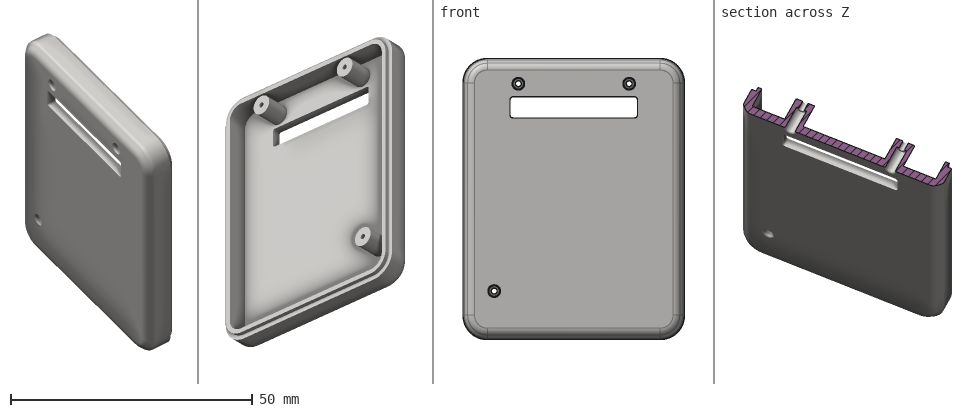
import cadquery as cq

WIDTH = 45.9
HEIGHT = 58.25
DEPTH = 7.6
CORNER_RADIUS = 5.05

LIP_STEP = 1.0
LIP_HEIGHT = 1.0
WALL = 2 * LIP_STEP
FLOOR = 2.0

RIM_CHAMFER = 1.6
RIM_SIDE_FILLET = 1.0
RIM_FACE_FILLET = 2.0
EDGE_MARGIN = 0.05

POST_DIAMETER = 4.3
POST_RISE = 0.9
POST_CENTERS = [(-11.5, 23.9), (11.5, 23.9), (-16.5, -19.05)]
SCREW_HOLE_DIAMETER = 1.15
HEAD_HOLE_DIAMETER = 2.2
HEAD_HOLE_DEPTH = 5.6
HEAD_HOLE_CHAMFER = 0.205

WINDOW_WIDTH = 26.3
WINDOW_HEIGHT = 4.3
WINDOW_CENTER_Z = 19.0
WINDOW_CORNER_RADIUS = 0.5

FRONT_Y = -DEPTH / 2
FLOOR_Y = FRONT_Y + FLOOR
BACK_Y = DEPTH / 2
LIP_TOP_Y = BACK_Y - POST_RISE
STEP_Y = LIP_TOP_Y - LIP_HEIGHT


def plane_at(y):
    """XZ work plane at the given Y whose extrusions grow toward +Y (local y is -Z)."""
    return cq.Workplane(cq.Plane(origin=(0, y, 0), xDir=(1, 0, 0), normal=(0, 1, 0)))


def rounded_block(inset, y_start, y_end):
    """Block following the plate outline, shrunk by inset on every side."""
    return (
        plane_at(y_start)
        .rect(WIDTH - 2 * inset, HEIGHT - 2 * inset)
        .extrude(y_end - y_start)
        .edges("|Y")
        .fillet(CORNER_RADIUS - inset)
    )


def cylinders(diameter, y_start, y_end):
    """One cylinder along Y at every post center."""
    centers = [(x, -z) for x, z in POST_CENTERS]
    return plane_at(y_start).pushPoints(centers).circle(diameter / 2).extrude(y_end - y_start)


def outer_body():
    """Outer body with the softened front rim."""
    body = rounded_block(0, FRONT_Y, STEP_Y)
    body = body.faces("<Y").chamfer(RIM_CHAMFER)
    body = body.faces("<Y").edges().fillet(RIM_FACE_FILLET)
    side_edge_y = FRONT_Y + RIM_CHAMFER
    selector = cq.selectors.BoxSelector(
        (-WIDTH, side_edge_y - EDGE_MARGIN, -HEIGHT), (WIDTH, side_edge_y + EDGE_MARGIN, HEIGHT)
    )
    return body.edges(selector).fillet(RIM_SIDE_FILLET)


def head_holes():
    """Screw head recesses, flared where they meet the front face."""
    holes = cylinders(HEAD_HOLE_DIAMETER, FRONT_Y, FRONT_Y + HEAD_HOLE_DEPTH)
    for x, z in POST_CENTERS:
        flare = cq.Solid.makeCone(
            HEAD_HOLE_DIAMETER / 2 + HEAD_HOLE_CHAMFER,
            HEAD_HOLE_DIAMETER / 2,
            HEAD_HOLE_CHAMFER,
            pnt=cq.Vector(x, FRONT_Y, z),
            dir=cq.Vector(0, 1, 0),
        )
        holes = holes.union(cq.Workplane(flare))
    return holes


def window():
    """Rounded rectangular opening through the floor."""
    return (
        plane_at(FRONT_Y)
        .center(0, -WINDOW_CENTER_Z)
        .rect(WINDOW_WIDTH, WINDOW_HEIGHT)
        .extrude(FLOOR)
        .edges("|Y")
        .fillet(WINDOW_CORNER_RADIUS)
    )


shell = outer_body().union(rounded_block(LIP_STEP, FLOOR_Y, LIP_TOP_Y))
shell = shell.cut(rounded_block(WALL, FLOOR_Y, LIP_TOP_Y))
posts = cylinders(POST_DIAMETER, FLOOR_Y, BACK_Y)
screw_holes = cylinders(SCREW_HOLE_DIAMETER, FRONT_Y, BACK_Y)

result = shell.union(posts).cut(head_holes()).cut(screw_holes).cut(window())